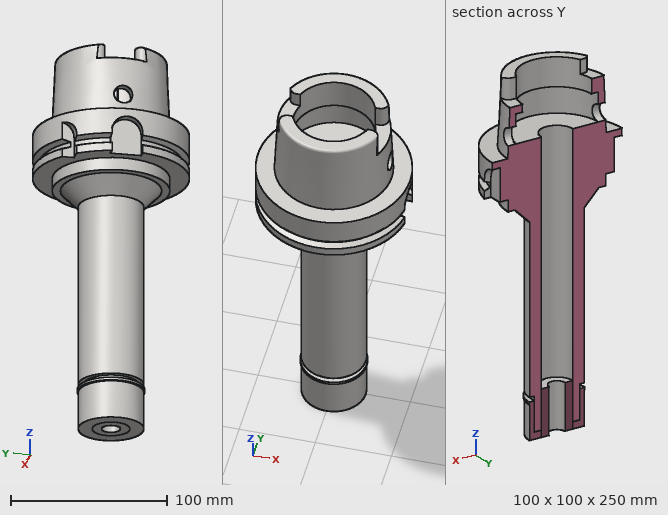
import cadquery as cq

TOTAL_LENGTH = 250.0
FLANGE_TOP = 200.0
FLANGE_BOTTOM = 171.0
HUB_BOTTOM = 162.8
NUT_TOP = 27.0
RELIEF_TOP = 30.0

TAPER_BASE_RADIUS = 38.0
TAPER_TOP_RADIUS = 35.8
RIM_ROUND = 1.88
MOUTH_RADIUS = 26.5
CAVITY_RADIUS = 31.5
LIP_BOTTOM = 229.2
CAVITY_FLOOR = 208.8
CROSS_HOLE_DIAMETER = 12.0
CROSS_HOLE_Z = 214.8

SLOT_WIDTH = 20.0
NEAR_NOTCH_DEPTH = 10.0
FAR_NOTCH_DEPTH = 15.0
NOTCH_ROUND = 5.0
NOTCH_SHOULDER_X = 32.2

FLANGE_RADIUS = 50.0
GROOVE_RADIUS = 45.8
GROOVE_TOP = 183.0
GROOVE_BOTTOM = 176.5
GROOVE_FLANK_HEIGHT = 1.62

SLOT_TOP = 194.8
KEY_SLOT_FLOOR_X = 44.0
ORIENTATION_SLOT_FLOOR_X = 31.5
ORIENTATION_SLOT_Y = 41.0

HUB_RADIUS = 37.5
CONE_TOP_RADIUS = 32.2
SHAFT_RADIUS = 21.0
CONE_BOTTOM = HUB_BOTTOM - (CONE_TOP_RADIUS - SHAFT_RADIUS)
NECK_RADIUS = 17.8

NUT_RADIUS = SHAFT_RADIUS
RIDGE_RADIUS = 21.5
RIDGE_BOTTOM = 25.2
NUT_LIP = 5.0

COLLET_RADIUS = 12.0
COLLET_BORE_RADIUS = 6.0
COLLET_LENGTH = 34.0


def make_holder_blank():
    """Turned outside and stepped bore of the tool holder."""
    return (
        cq.Workplane("XZ")
        .moveTo(MOUTH_RADIUS, TOTAL_LENGTH)
        .lineTo(TAPER_TOP_RADIUS - RIM_ROUND, TOTAL_LENGTH)
        .radiusArc((TAPER_TOP_RADIUS, TOTAL_LENGTH - RIM_ROUND), RIM_ROUND)
        .lineTo(TAPER_BASE_RADIUS, FLANGE_TOP)
        .lineTo(FLANGE_RADIUS, FLANGE_TOP)
        .lineTo(FLANGE_RADIUS, GROOVE_TOP)
        .lineTo(GROOVE_RADIUS, GROOVE_TOP - GROOVE_FLANK_HEIGHT)
        .lineTo(GROOVE_RADIUS, GROOVE_BOTTOM + GROOVE_FLANK_HEIGHT)
        .lineTo(FLANGE_RADIUS, GROOVE_BOTTOM)
        .lineTo(FLANGE_RADIUS, FLANGE_BOTTOM)
        .lineTo(HUB_RADIUS, FLANGE_BOTTOM)
        .lineTo(HUB_RADIUS, HUB_BOTTOM)
        .lineTo(CONE_TOP_RADIUS, HUB_BOTTOM)
        .lineTo(SHAFT_RADIUS, CONE_BOTTOM)
        .lineTo(SHAFT_RADIUS, RELIEF_TOP)
        .lineTo(NECK_RADIUS, RELIEF_TOP)
        .lineTo(NECK_RADIUS, NUT_LIP)
        .lineTo(COLLET_RADIUS, NUT_LIP)
        .lineTo(COLLET_RADIUS, CAVITY_FLOOR)
        .lineTo(CAVITY_RADIUS, CAVITY_FLOOR)
        .lineTo(CAVITY_RADIUS, LIP_BOTTOM)
        .lineTo(MOUTH_RADIUS, LIP_BOTTOM)
        .close()
        .revolve(360, (0, 0, 0), (0, 1, 0))
    )


def make_notch_cutter(side, depth):
    """Drive notch through the rim on the -X (side -1) or +X (side 1) half.

    Each wall turns outwards through a quarter-round and leaves the taper along Y.
    """
    half_width = SLOT_WIDTH / 2
    outer_x = FLANGE_RADIUS
    outer_y = TAPER_BASE_RADIUS
    round_start_x = NOTCH_SHOULDER_X - NOTCH_ROUND
    round_end_y = half_width + NOTCH_ROUND
    return (
        cq.Workplane("XY", origin=(0, 0, TOTAL_LENGTH - depth))
        .moveTo(0, half_width)
        .lineTo(side * round_start_x, half_width)
        .radiusArc((side * NOTCH_SHOULDER_X, round_end_y), -side * NOTCH_ROUND)
        .lineTo(side * NOTCH_SHOULDER_X, outer_y)
        .lineTo(side * outer_x, outer_y)
        .lineTo(side * outer_x, -outer_y)
        .lineTo(side * NOTCH_SHOULDER_X, -outer_y)
        .lineTo(side * NOTCH_SHOULDER_X, -round_end_y)
        .radiusArc((side * round_start_x, -half_width), -side * NOTCH_ROUND)
        .lineTo(0, -half_width)
        .close()
        .extrude(depth)
    )


def make_flange_slot_cutter(side, floor_x, center_y):
    """Slot sunk along X from the flange edge down to a flat floor."""
    half_width = SLOT_WIDTH / 2
    arc_center_z = SLOT_TOP - half_width
    return (
        cq.Workplane("YZ", origin=(side * floor_x, 0, 0))
        .moveTo(center_y - half_width, FLANGE_BOTTOM)
        .lineTo(center_y - half_width, arc_center_z)
        .threePointArc((center_y, SLOT_TOP), (center_y + half_width, arc_center_z))
        .lineTo(center_y + half_width, FLANGE_BOTTOM)
        .close()
        .extrude(side * FLANGE_RADIUS)
    )


def make_holder():
    holder = make_holder_blank()
    for side, depth in ((-1, NEAR_NOTCH_DEPTH), (1, FAR_NOTCH_DEPTH)):
        holder = holder.cut(make_notch_cutter(side, depth))
    for side in (-1, 1):
        holder = holder.cut(make_flange_slot_cutter(side, KEY_SLOT_FLOOR_X, 0))
    holder = holder.cut(make_flange_slot_cutter(-1, ORIENTATION_SLOT_FLOOR_X, ORIENTATION_SLOT_Y))
    cross_hole = (
        cq.Workplane("YZ", origin=(0, 0, CROSS_HOLE_Z))
        .circle(CROSS_HOLE_DIAMETER / 2)
        .extrude(FLANGE_RADIUS, both=True)
    )
    return holder.cut(cross_hole)


def make_nut():
    """Clamping nut around the neck, with a narrow ridge at its upper end."""
    ridge_chamfer = RIDGE_RADIUS - NUT_RADIUS
    return (
        cq.Workplane("XZ")
        .moveTo(COLLET_RADIUS, 0)
        .lineTo(NUT_RADIUS, 0)
        .lineTo(NUT_RADIUS, RIDGE_BOTTOM - ridge_chamfer)
        .lineTo(RIDGE_RADIUS, RIDGE_BOTTOM)
        .lineTo(RIDGE_RADIUS, NUT_TOP)
        .lineTo(NECK_RADIUS, NUT_TOP)
        .lineTo(NECK_RADIUS, NUT_LIP)
        .lineTo(COLLET_RADIUS, NUT_LIP)
        .close()
        .revolve(360, (0, 0, 0), (0, 1, 0))
    )


def make_collet():
    """Plain sleeve that fills the lower end of the holder bore."""
    return (
        cq.Workplane("XY")
        .circle(COLLET_RADIUS)
        .circle(COLLET_BORE_RADIUS)
        .extrude(COLLET_LENGTH)
    )


holder = make_holder()
nut = make_nut()
collet = make_collet()

result = cq.Compound.makeCompound([holder.val(), nut.val(), collet.val()])